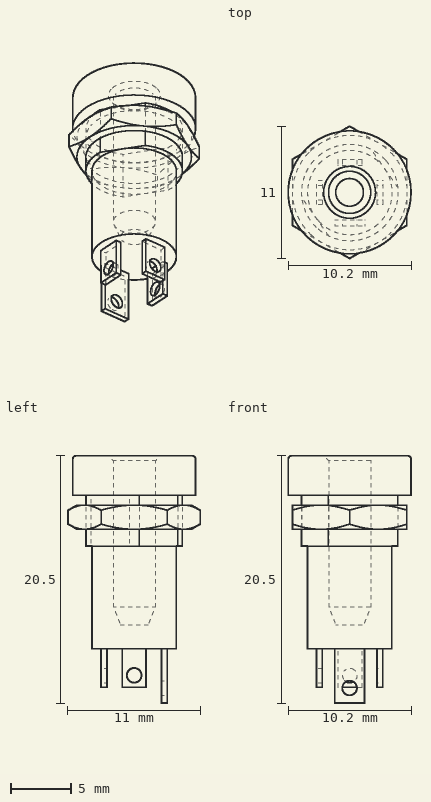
import cadquery as cq
import math


head_diameter = 10.2
head_height = 3.3
head_fillet = 0.3
collar_diameter = 8.0
collar_length = 4.2
barrel_diameter = 7.0
barrel_end = 12.7
flat_distance = barrel_diameter / 2
flat_angles = (35, 215)

bore_diameter = 3.5
bore_floor_diameter = 2.3
countersink_size = 0.4
bore_depth = 14.0
bore_cone_height = 1.5

nut_width = 9.5
nut_height = 2.0
nut_gap = 0.8
nut_chamfer_angle = 30.0
hexagon_half_angle = 30

terminal_thickness = 0.5
terminal_radius = 2.5
terminal_hole_diameter = 1.2
short_width = 2.0
short_length = 3.2
short_angles = (0, 90, 180)
long_width = 2.5
long_length = 4.5
long_angle = 270


def cylinder(diameter, bottom, top):
    return cq.Workplane("XY").workplane(offset=bottom).circle(diameter / 2).extrude(top - bottom)


def make_collar():
    collar = cylinder(collar_diameter, -collar_length, 0)
    cutter = (
        cq.Workplane("XY")
        .box(collar_diameter, collar_diameter, collar_length, centered=(False, True, False))
        .translate((flat_distance, 0, -collar_length))
    )
    for angle in flat_angles:
        collar = collar.cut(cutter.rotate((0, 0, 0), (0, 0, 1), angle))
    return collar


def make_bore():
    bore_radius = bore_diameter / 2
    floor_radius = bore_floor_diameter / 2
    floor = head_height - bore_depth
    wall_end = floor + bore_cone_height
    return (
        cq.Workplane("XZ")
        .moveTo(0, floor)
        .lineTo(floor_radius, floor)
        .lineTo(bore_radius, wall_end)
        .lineTo(bore_radius, head_height - countersink_size)
        .lineTo(bore_radius + countersink_size, head_height)
        .lineTo(0, head_height)
        .close()
        .revolve(360, (0, 0, 0), (0, 1, 0))
    )


def make_housing():
    head = cylinder(head_diameter, 0, head_height).faces(">Z").edges().fillet(head_fillet)
    barrel = cylinder(barrel_diameter, -barrel_end, 0)
    return head.union(barrel).union(make_collar()).cut(make_bore())


def make_nut():
    top = -nut_gap
    bottom = top - nut_height
    flat_radius = nut_width / 2
    corner_radius = flat_radius / math.cos(math.radians(hexagon_half_angle))
    corner_drop = (corner_radius - flat_radius) * math.tan(math.radians(nut_chamfer_angle))
    hexagon = (
        cq.Workplane("XY")
        .workplane(offset=bottom)
        .polygon(6, 2 * corner_radius)
        .extrude(nut_height)
        .rotate((0, 0, 0), (0, 0, 1), hexagon_half_angle)
    )
    envelope = (
        cq.Workplane("XZ")
        .moveTo(0, bottom)
        .lineTo(flat_radius, bottom)
        .lineTo(corner_radius, bottom + corner_drop)
        .lineTo(corner_radius, top - corner_drop)
        .lineTo(flat_radius, top)
        .lineTo(0, top)
        .close()
        .revolve(360, (0, 0, 0), (0, 1, 0))
    )
    return hexagon.intersect(envelope).cut(cylinder(collar_diameter, bottom, top))


def make_terminal(width, length, angle):
    """Flat tab below the barrel; its hole sits half a width above the tip."""
    tip = -barrel_end - length
    tab = (
        cq.Workplane("XY")
        .box(terminal_thickness, width, length, centered=(True, True, False))
        .translate((terminal_radius, 0, tip))
    )
    hole = (
        cq.Workplane("YZ")
        .center(0, tip + width / 2)
        .circle(terminal_hole_diameter / 2)
        .extrude(terminal_radius + terminal_thickness)
    )
    return tab.cut(hole).rotate((0, 0, 0), (0, 0, 1), angle)


housing = make_housing()
nut = make_nut()
long_terminal = make_terminal(long_width, long_length, long_angle)
short_terminals = [make_terminal(short_width, short_length, angle) for angle in short_angles]

result = cq.Compound.makeCompound(
    [housing.val(), nut.val(), long_terminal.val()]
    + [terminal.val() for terminal in short_terminals]
)